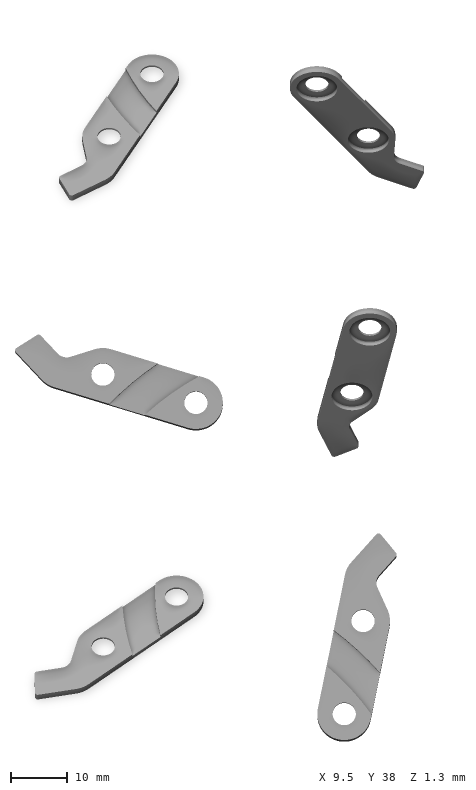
import cadquery as cq
import math

width = 9.5
half_width = width / 2
length = 38.02
thickness = 1.3
hole_diameter = 4.1
hole_spacing = 17.2
counterbore_diameter = 7.22
hole_lip = 0.38

taper_angle = math.radians(35)
leg_angle = math.radians(30)
tip_angle = math.radians(40)
bend_y = -26.05
neck_y = -24.7
bend_radius = 4.75
neck_radius = 2.13
tip_radius = 0.5

groove_center = (28.85, 34.2)
groove_inner_radius = 48.55
groove_outer_radius = 54.35
groove_depth = 0.45

taper_start = (
    -half_width * math.cos(taper_angle),
    -hole_spacing - half_width * math.sin(taper_angle),
)
taper_round_middle = (
    -half_width * math.cos(taper_angle / 2),
    -hole_spacing - half_width * math.sin(taper_angle / 2),
)

bend = (half_width, bend_y)
neck = (taper_start[0] + (taper_start[1] - neck_y) * math.tan(taper_angle), neck_y)

right_side_direction = math.pi / 2 - leg_angle
tip_edge_direction = math.pi - tip_angle
half_tip_corner = (tip_edge_direction - right_side_direction) / 2
tip_bisector = (tip_edge_direction + right_side_direction) / 2
tip_rise = tip_radius * (math.sin(tip_bisector) / math.sin(half_tip_corner) - 1)
right_tip_y = half_width - length - tip_rise
right_tip = (half_width - (bend_y - right_tip_y) * math.tan(leg_angle), right_tip_y)

leg_slope = math.tan(right_side_direction)
tip_slope = -math.tan(tip_angle)
left_tip_x = (
    right_tip[1] - neck[1] + leg_slope * neck[0] - tip_slope * right_tip[0]
) / (leg_slope - tip_slope)
left_tip = (left_tip_x, neck[1] + leg_slope * (left_tip_x - neck[0]))


def round_corner(body, corner, radius):
    """Round the vertical edge standing on the given corner."""
    edge = cq.selectors.NearestToPointSelector((*corner, thickness / 2))
    return body.edges("|Z").edges(edge).fillet(radius)


def make_plate():
    plate = (
        cq.Workplane("XY")
        .moveTo(half_width, 0)
        .threePointArc((0, half_width), (-half_width, 0))
        .lineTo(-half_width, -hole_spacing)
        .threePointArc(taper_round_middle, taper_start)
        .lineTo(*neck)
        .lineTo(*left_tip)
        .lineTo(*right_tip)
        .lineTo(*bend)
        .close()
        .extrude(thickness)
    )
    for corner, radius in (
        (bend, bend_radius),
        (neck, neck_radius),
        (left_tip, tip_radius),
        (right_tip, tip_radius),
    ):
        plate = round_corner(plate, corner, radius)
    return plate


def make_holes():
    """Make both through holes with their counterbores from the bottom face."""
    centers = cq.Workplane("XY").pushPoints([(0, 0), (0, -hole_spacing)])
    holes = centers.circle(hole_diameter / 2).extrude(thickness)
    counterbores = centers.circle(counterbore_diameter / 2).extrude(thickness - hole_lip)
    return holes.union(counterbores)


def make_groove():
    return (
        cq.Workplane("XY", origin=(*groove_center, thickness - groove_depth))
        .circle(groove_outer_radius)
        .circle(groove_inner_radius)
        .extrude(groove_depth)
    )


result = make_plate().cut(make_holes()).cut(make_groove())